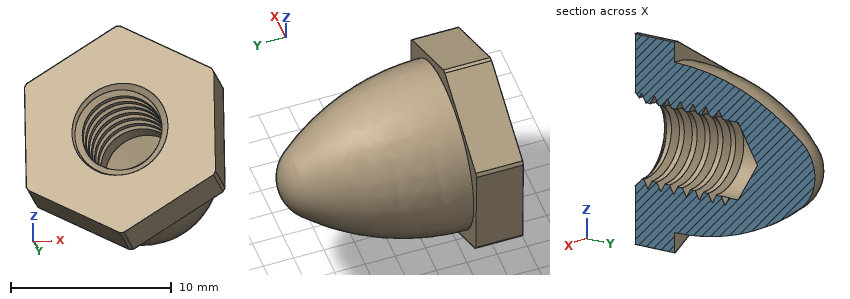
import cadquery as cq
import math

across_flats = 12.0
hex_height = 3.1
across_corners = 13.7
hex_twist = 1.0
vertex_up = 30.0

total_length = 14.0
body_radius = 5.55
nose_radius = 2.7

bore_radius = 2.5
thread_pitch = 1.0
thread_depth = 0.54
flank_half_angle = 30.0
bore_depth = 8.0
countersink_depth = thread_depth
thread_length = 7.0
drill_point_angle = 118.0
groove_overlap = 0.1


def make_hex_flange():
    sharp_corner_diameter = across_flats / math.cos(math.radians(30))
    sharp_hex = cq.Workplane("XZ").polygon(6, sharp_corner_diameter).extrude(-hex_height)
    turned_blank = cq.Workplane("XZ").circle(across_corners / 2).extrude(-hex_height)
    flange = sharp_hex.intersect(turned_blank)
    return flange.rotate((0, 0, 0), (0, 1, 0), -vertex_up - hex_twist)


def make_bullet_body():
    """Ogive whose side leaves the flange along Y and runs tangentially into a round nose."""
    nose_center_y = total_length - nose_radius
    rise = nose_center_y - hex_height
    radius_drop = body_radius - nose_radius
    side_radius = (rise**2 + radius_drop**2) / (2 * radius_drop) + nose_radius
    side_center_radius = body_radius - side_radius
    tangent_angle = math.atan2(rise, -side_center_radius)

    def side_point(angle):
        radius = side_center_radius + side_radius * math.cos(angle)
        y = hex_height + side_radius * math.sin(angle)
        return (y, radius)

    nose_mid_angle = (tangent_angle + math.pi / 2) / 2
    nose_mid = (
        nose_center_y + nose_radius * math.sin(nose_mid_angle),
        nose_radius * math.cos(nose_mid_angle),
    )
    profile = (
        cq.Workplane("YZ")
        .moveTo(hex_height, 0)
        .lineTo(hex_height, body_radius)
        .threePointArc(side_point(tangent_angle / 2), side_point(tangent_angle))
        .threePointArc(nose_mid, (total_length, 0))
        .close()
    )
    return profile.revolve(360, (0, 0, 0), (1, 0, 0))


def make_bore():
    """Drilled hole with a conical end and a 45 degree countersink at the mouth."""
    mouth_radius = bore_radius + countersink_depth
    point_height = bore_radius / math.tan(math.radians(drill_point_angle / 2))
    profile = cq.Workplane("YZ").polyline(
        [
            (0, 0),
            (0, -mouth_radius),
            (countersink_depth, -bore_radius),
            (bore_depth, -bore_radius),
            (bore_depth + point_height, 0),
        ]
    )
    return profile.close().revolve(360, (0, 0, 0), (1, 0, 0))


def make_thread_groove():
    """Right-hand V groove, built about +Z and then laid along +Y."""
    root_radius = bore_radius + thread_depth
    inner_radius = bore_radius - groove_overlap
    half_width = (root_radius - inner_radius) * math.tan(math.radians(flank_half_angle))
    helix = cq.Wire.makeHelix(thread_pitch, thread_length, bore_radius)
    groove = (
        cq.Workplane("XZ")
        .polyline([(inner_radius, -half_width), (root_radius, 0), (inner_radius, half_width)])
        .close()
        .sweep(cq.Workplane(helix), isFrenet=True)
    )
    return groove.rotate((0, 0, 0), (0, 0, 1), 90).rotate((0, 0, 0), (1, 0, 0), -90)


body = make_hex_flange().union(make_bullet_body())
result = body.cut(make_bore()).cut(make_thread_groove())